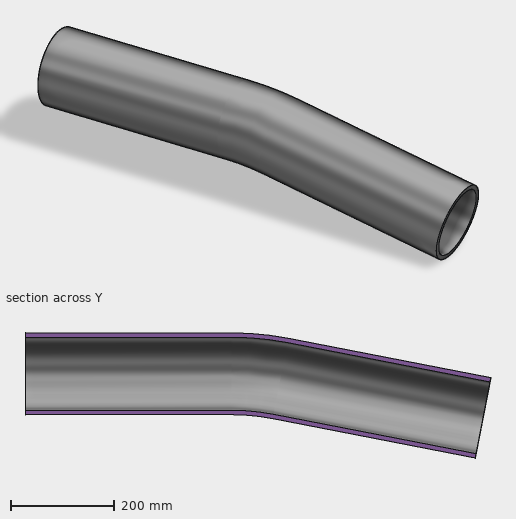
import cadquery as cq
import math

overall_length = 903.5

outer_diameter = 160.0
inner_diameter = 141.0

leg_length = 400.0
bend_angle = 11.0

angle = math.radians(bend_angle)

leg_reach = leg_length * (1 + math.cos(angle))
rim_reach = outer_diameter / 2 * math.sin(angle)
bend_radius = (overall_length - leg_reach - rim_reach) / math.sin(angle)


def bend_point(turn):
    """Centreline point (X, Z) after turning through the given angle in radians."""
    x = leg_length + bend_radius * math.sin(turn)
    z = -bend_radius * (1 - math.cos(turn))
    return x, z


def bent_rod(diameter):
    """Solid round rod following the whole centreline."""
    bend_end = bend_point(angle)
    far_end = (
        bend_end[0] + leg_length * math.cos(angle),
        bend_end[1] - leg_length * math.sin(angle),
    )
    centreline = (
        cq.Workplane("XZ")
        .lineTo(leg_length, 0)
        .threePointArc(bend_point(angle / 2), bend_end)
        .lineTo(*far_end)
    )
    return cq.Workplane("YZ").circle(diameter / 2).sweep(centreline)


result = bent_rod(outer_diameter).cut(bent_rod(inner_diameter))